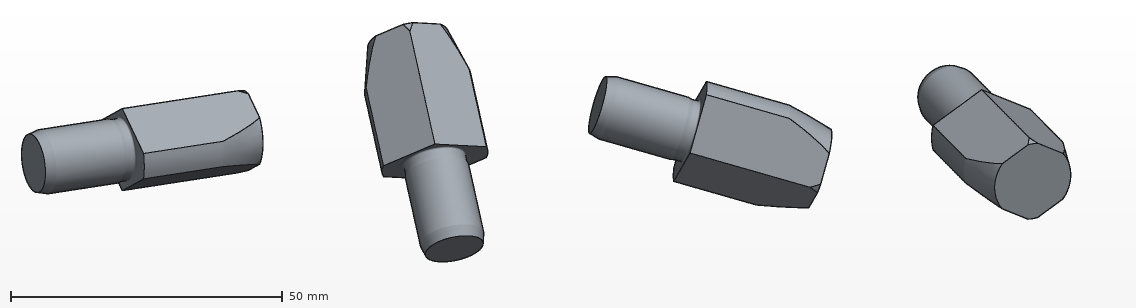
import cadquery as cq
import math

total_length = 43.0
pin_length = 17.95
tip_y = -total_length / 2
shoulder_y = tip_y + pin_length
head_end_y = total_length / 2

head_diameter = 20.0
diamond_height = 16.15
flank_angle = math.radians(30)
lead_in_length = 9.0
lead_in_angle = math.radians(15)

pin_diameter = 12.0
tip_chamfer_length = 2.0
tip_chamfer_angle = math.radians(15)
neck_diameter = 11.6
neck_length = 1.3
neck_runout_length = 0.77

undercut_diameter = 13.67
undercut_angle = math.radians(8)
undercut_fillet = 0.25


def revolve_about_y(points):
    """Turn a closed (radius, y) outline about the Y axis."""
    return cq.Workplane("XY").polyline(points).close().revolve(360, (0, 0, 0), (0, 1, 0))


def make_head():
    """Diamond prism limited by a turned blank with a tapered lead-in."""
    half_height = diamond_height / 2
    half_width = half_height / math.tan(flank_angle)
    prism = (
        cq.Workplane("XZ", origin=(0, head_end_y, 0))
        .polyline([(half_width, 0), (0, half_height), (-half_width, 0), (0, -half_height)])
        .close()
        .extrude(head_end_y - shoulder_y)
    )
    head_radius = head_diameter / 2
    end_radius = head_radius - lead_in_length * math.tan(lead_in_angle)
    blank = revolve_about_y([
        (0, shoulder_y),
        (head_radius, shoulder_y),
        (head_radius, head_end_y - lead_in_length),
        (end_radius, head_end_y),
        (0, head_end_y),
    ])
    return prism.intersect(blank)


def undercut_floor_y(radius):
    """Y position of the sloping undercut floor at a given radius."""
    return shoulder_y + (undercut_diameter / 2 - radius) * math.tan(undercut_angle)


def make_undercut():
    """Shallow ring groove whose floor slopes into the head towards the neck."""
    neck_radius = neck_diameter / 2
    outer_radius = undercut_diameter / 2
    return revolve_about_y([
        (neck_radius, shoulder_y),
        (outer_radius, shoulder_y),
        (neck_radius, undercut_floor_y(neck_radius)),
    ])


def make_root_fillet():
    """Rounded ring tangent to the neck and to the sloping undercut floor."""
    neck_radius = neck_diameter / 2
    center_radius = neck_radius + undercut_fillet
    center_y = undercut_floor_y(center_radius) - undercut_fillet / math.cos(undercut_angle)

    def arc_point(angle):
        return (
            center_radius + undercut_fillet * math.cos(angle),
            center_y + undercut_fillet * math.sin(angle),
        )

    neck_tangent_angle = math.pi
    floor_tangent_angle = math.pi / 2 - undercut_angle
    middle_angle = (neck_tangent_angle + floor_tangent_angle) / 2
    return (
        cq.Workplane("XY")
        .moveTo(*arc_point(neck_tangent_angle))
        .threePointArc(arc_point(middle_angle), arc_point(floor_tangent_angle))
        .lineTo(neck_radius, undercut_floor_y(neck_radius))
        .close()
        .revolve(360, (0, 0, 0), (0, 1, 0))
    )


def make_pin():
    """Pin with a chamfered tip and a slightly reduced neck at the shoulder."""
    pin_radius = pin_diameter / 2
    neck_radius = neck_diameter / 2
    tip_radius = pin_radius - tip_chamfer_length * math.tan(tip_chamfer_angle)
    neck_start_y = shoulder_y - neck_length
    return revolve_about_y([
        (0, tip_y),
        (tip_radius, tip_y),
        (pin_radius, tip_y + tip_chamfer_length),
        (pin_radius, neck_start_y - neck_runout_length),
        (neck_radius, neck_start_y),
        (neck_radius, shoulder_y),
        (0, shoulder_y),
    ])


result = make_head().cut(make_undercut()).union(make_pin()).union(make_root_fillet())